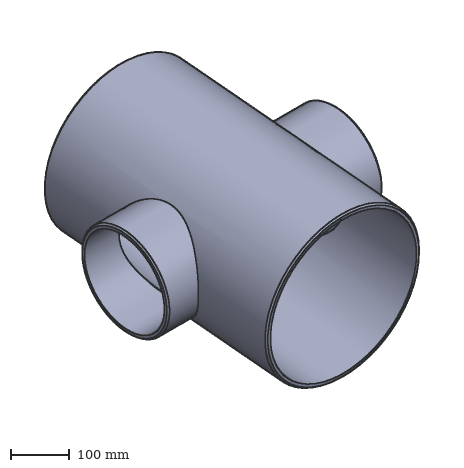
import cadquery as cq

run_length = 559.0
run_diameter = 355.5
run_bore = 336.5

branch_span = 495.0
branch_diameter = 219.0
branch_bore = 200.0

bevel = 3.5


def beveled_bar(diameter, length):
    """Solid bar along X, centred on the origin, with both ends beveled."""
    radius = diameter / 2
    half = length / 2
    end_radius = radius - bevel
    shoulder = half - bevel
    return (
        cq.Workplane("XY")
        .moveTo(-half, 0)
        .lineTo(-half, end_radius)
        .lineTo(-shoulder, radius)
        .lineTo(shoulder, radius)
        .lineTo(half, end_radius)
        .lineTo(half, 0)
        .close()
        .revolve(360, (0, 0, 0), (1, 0, 0))
    )


def turn_to_y(body):
    """Turn a body lying along X so that it lies along Y."""
    return body.rotate((0, 0, 0), (0, 0, 1), 90)


def bore(diameter, length):
    """Cylinder along X, centred on the origin."""
    return cq.Workplane("YZ").circle(diameter / 2).extrude(length / 2, both=True)


run = beveled_bar(run_diameter, run_length)
branches = turn_to_y(beveled_bar(branch_diameter, branch_span))

result = (
    run.union(branches)
    .cut(bore(run_bore, run_length))
    .cut(turn_to_y(bore(branch_bore, branch_span)))
)